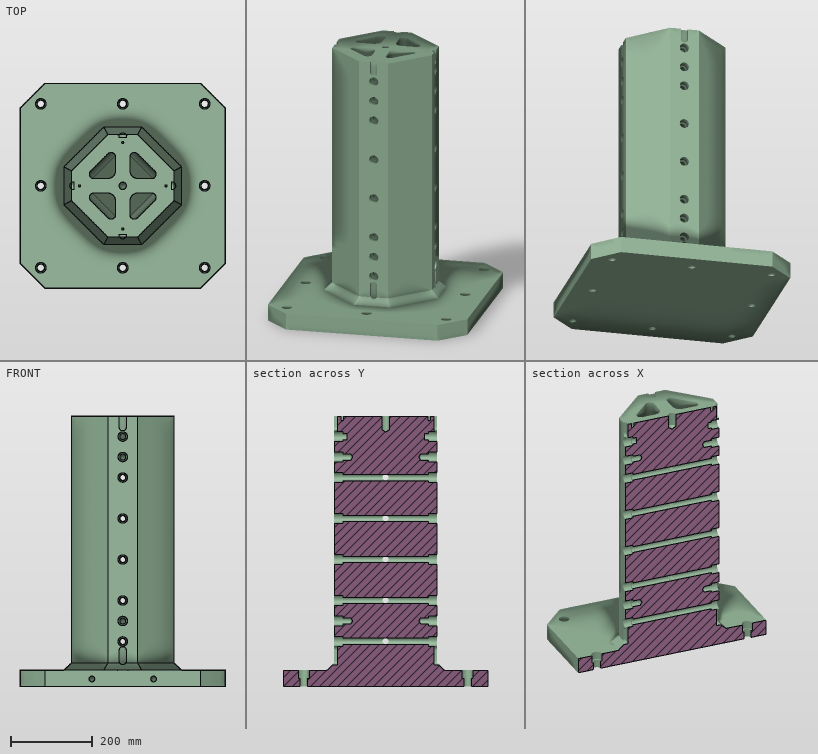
import cadquery as cq
import math

height = 660.0
base_side = 500.0
base_thickness = 40.0
base_corner = 60.0

mount_pitch = 200.0
mount_bore = 18.0
mount_counterbore = 26.0
mount_counterbore_depth = 20.0

side_hole_spacing = 150.5
side_hole_height = 18.5
side_hole_diameter = 14.0
side_hole_depth = 30.0

column_side = 250.0
column_face = 72.5
skirt_height = 17.0
skirt_reach = 18.5
skirt_face = 92.5

face_pitch = mount_pitch / 4
drill_angle = 118.0
face_bore = 14.5
face_counterbore = 23.0
face_counterbore_depth = 20.0
flat_hole_depth = 30.0
blind_hole_depth = 39.5
flat_holes = [1]
blind_holes = [2, 10]
through_holes = [3, 5, 7, 9, 11]

slot_width = 18.0
slot_depth = 6.5
top_slot_length = 35.5
lower_slot_length = 43.5
lower_slot_rise = 13.0

web_thickness = 35.0
pocket_slant_sum = 114.0
pocket_inner_radius = 20.0
pocket_tip_radius = 22.0 / 2
pocket_floor_radius = 16.0
pocket_floor = base_thickness

centre_hole_diameter = 18.0
centre_hole_depth = 33.0
pin_hole_diameter = 5.0
pin_hole_offset = 105.5
pin_hole_depth = 10.0

half_column = column_side / 2
half_base = base_side / 2


def octagon(side, face):
    """Corner points of a square of the given side with its corners cut back to leave the face width."""
    a = side / 2
    b = face / 2
    return [(b, a), (a, b), (a, -b), (b, -a), (-b, -a), (-a, -b), (-a, b), (-b, a)]


def plane_at(z):
    return cq.Workplane("XY", origin=(0, 0, z))


def around_axis(shape):
    """Four copies of a shape, a quarter turn apart about Z."""
    return [shape.rotate((0, 0, 0), (0, 0, 1), 90 * turn) for turn in range(4)]


def drill(start, direction, diameter, depth):
    """Blind drilled hole: a cylinder with a conical bottom."""
    radius = diameter / 2
    tip = radius / math.tan(math.radians(drill_angle / 2))
    bore = cq.Solid.makeCylinder(radius, depth, start, direction)
    cone = cq.Solid.makeCone(radius, 0, tip, start + direction * depth, direction)
    return cq.Workplane(bore.fuse(cone))


def make_base():
    plate = plane_at(0).polyline(octagon(base_side, base_side - 2 * base_corner)).close()
    plate = plate.extrude(base_thickness)
    spots = [
        (i * mount_pitch, j * mount_pitch)
        for i in (-1, 0, 1)
        for j in (-1, 0, 1)
        if (i, j) != (0, 0)
    ]
    plate = (
        plate.faces(">Z").workplane(origin=(0, 0, 0)).pushPoints(spots)
        .cboreHole(mount_bore, mount_counterbore, mount_counterbore_depth)
    )
    for x in (-side_hole_spacing / 2, side_hole_spacing / 2):
        start = cq.Vector(x, -half_base, side_hole_height)
        plate = plate.cut(drill(start, cq.Vector(0, 1, 0), side_hole_diameter, side_hole_depth))
    return plate


def make_column():
    column = plane_at(base_thickness).polyline(octagon(column_side, column_face)).close()
    column = column.extrude(height - base_thickness)
    skirt = (
        plane_at(base_thickness).polyline(octagon(column_side + 2 * skirt_reach, skirt_face)).close()
        .workplane(offset=skirt_height).polyline(octagon(column_side, column_face)).close()
        .loft(ruled=True)
    )
    return column.union(skirt)


def make_pocket():
    """Rounded triangular pocket in the +X +Y quadrant."""
    near = web_thickness / 2
    far = pocket_slant_sum - near
    triangle = plane_at(pocket_floor).polyline([(near, near), (far, near), (near, far)]).close()
    prism = triangle.extrude(height - pocket_floor)
    blended_floor = prism.faces("<Z").edges(">(1, 1, 0)").fillet(pocket_floor_radius)
    rounded_walls = (
        prism.edges("|Z").edges("<(1, 1, 0)").fillet(pocket_inner_radius)
        .edges("|Z").edges(">X or >Y").fillet(pocket_tip_radius)
    )
    return blended_floor.intersect(rounded_walls)


def make_face_cutters():
    """Holes and key slots of the narrow face on the -Y side."""
    inward = cq.Vector(0, 1, 0)
    cutters = []
    for row in flat_holes + blind_holes + through_holes:
        start = cq.Vector(0, -half_column, height - row * face_pitch)
        counterbore = cq.Solid.makeCylinder(face_counterbore / 2, face_counterbore_depth, start, inward)
        cutters.append(cq.Workplane(counterbore))
        if row in blind_holes:
            cutters.append(drill(start, inward, face_bore, blind_hole_depth))
        else:
            depth = flat_hole_depth if row in flat_holes else half_column
            cutters.append(cq.Workplane(cq.Solid.makeCylinder(face_bore / 2, depth, start, inward)))
    top_slot_bottom = height - top_slot_length
    lower_slot_bottom = base_thickness + lower_slot_rise
    slots = [(top_slot_bottom, 2 * top_slot_length), (lower_slot_bottom, lower_slot_length)]
    for bottom, length in slots:
        slot = (
            cq.Workplane("XZ", origin=(0, -half_column + slot_depth, bottom + length / 2))
            .slot2D(length, slot_width, 90)
            .extrude(slot_depth + skirt_reach)
        )
        cutters.append(slot)
    return cutters


result = make_base().union(make_column())

quarter_cutters = [make_pocket()] + make_face_cutters()
down = cq.Vector(0, 0, -1)
quarter_cutters.append(drill(cq.Vector(0, -pin_hole_offset, height), down, pin_hole_diameter, pin_hole_depth))
for cutter in quarter_cutters:
    for copy in around_axis(cutter):
        result = result.cut(copy)
result = result.cut(drill(cq.Vector(0, 0, height), down, centre_hole_diameter, centre_hole_depth))